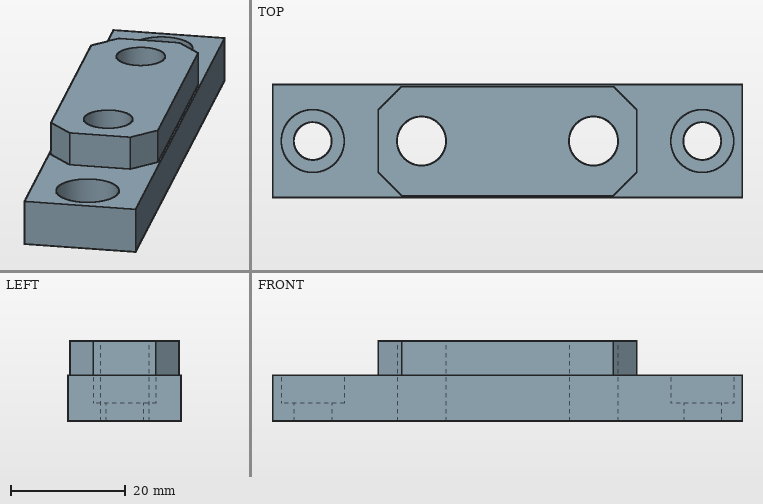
import cadquery as cq

base_length = 82.0
base_width = 19.8
base_height = 8.0

block_length = 45.2
block_width = 19.0
block_height = 6.0
corner_bevel = 4.1

block_hole_diameter = 8.5
block_hole_spacing = 30.0

screw_diameter = 6.6
counterbore_diameter = 11.0
counterbore_depth = 4.8
screw_spacing = 68.0

total_height = base_height + block_height


def hole_centres(spacing):
    """Two points on the long axis, symmetric about the middle."""
    return [(-spacing / 2, 0), (spacing / 2, 0)]


def cylinders(spacing, diameter, bottom, height):
    """A pair of upright cylinders used to cut holes."""
    return (
        cq.Workplane("XY", origin=(0, 0, bottom))
        .pushPoints(hole_centres(spacing))
        .circle(diameter / 2)
        .extrude(height)
    )


base = cq.Workplane("XY").rect(base_length, base_width).extrude(base_height)

block = (
    cq.Workplane("XY", origin=(0, 0, base_height))
    .rect(block_length, block_width)
    .extrude(block_height)
    .edges("|Z")
    .chamfer(corner_bevel)
)

block_holes = cylinders(block_hole_spacing, block_hole_diameter, 0, total_height)
screw_holes = cylinders(screw_spacing, screw_diameter, 0, base_height)
counterbores = cylinders(
    screw_spacing, counterbore_diameter, base_height - counterbore_depth, counterbore_depth
)

result = base.union(block).cut(block_holes).cut(screw_holes).cut(counterbores)